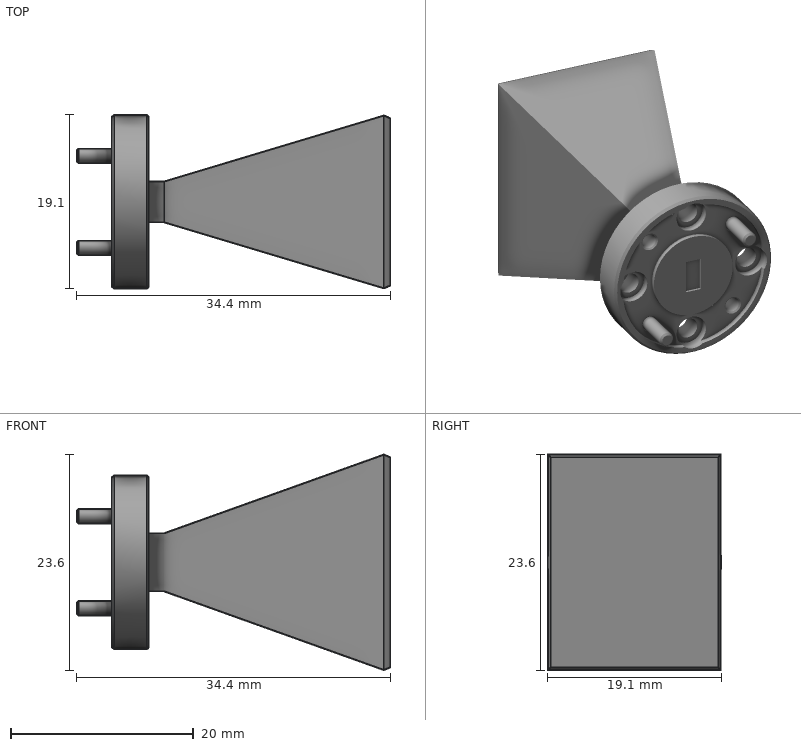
import cadquery as cq
import math

overall_length = 34.35
flange_front = 3.8
flange_thickness = 4.1
flange_back = flange_front + flange_thickness
neck_length = 1.7
flare_start = flange_back + neck_length
mouth_bevel_length = 0.7
flare_end = overall_length - mouth_bevel_length

flange_diameter = 19.05
front_chamfer_length = 0.3
front_chamfer_height = 0.25
back_chamfer = 0.2
recess_outer_diameter = 17.25
boss_diameter = 9.55
recess_depth = 0.62
boss_setback = 0.1
window_width = 1.82
window_height = 3.7
window_depth = 0.27

hole_circle_diameter = 14.25
hole_circle_radius = hole_circle_diameter / 2
screw_hole_diameter = 2.3
counterbore_diameter = 3.57
counterbore_depth = 1.5
guide_hole_diameter = 1.65
guide_hole_chamfer = 0.17
pin_hole_chamfer = 0.1
screw_angles = [0, 90, 180, 270]
guide_angles = [45, 225]
pin_angles = [135, 315]

pin_diameter = 1.6
pin_tip_chamfer = 0.2

neck_width = 4.5
neck_height = 6.4
mouth_width = 18.95
mouth_height = 23.63
mouth_bevel_inset = 0.3


def on_hole_circle(angle):
    """Y, Z position on the hole circle, measured from +Y towards +Z."""
    a = math.radians(angle)
    return hole_circle_radius * math.cos(a), hole_circle_radius * math.sin(a)


def section_plane(x):
    """Sketch plane across the axis, with sketch X along Y and sketch Y along Z."""
    return cq.Workplane("YZ", origin=(x, 0, 0))


def drill(x, diameter, depth, angles):
    """Cylinders at the given hole-circle angles, running from x towards +X."""
    places = [on_hole_circle(angle) for angle in angles]
    return section_plane(x).pushPoints(places).circle(diameter / 2).extrude(depth)


def countersink_cutters(x, diameter, chamfer, angles):
    """Cones that chamfer hole mouths lying in the plane at x."""
    return [
        cq.Solid.makeCone(
            diameter / 2 + chamfer,
            diameter / 2,
            chamfer,
            pnt=cq.Vector(x, *on_hole_circle(angle)),
            dir=cq.Vector(1, 0, 0),
        )
        for angle in angles
    ]


def make_flange():
    radius = flange_diameter / 2
    recess_radius = recess_outer_diameter / 2
    boss_radius = boss_diameter / 2
    recess_floor = flange_front + recess_depth
    boss_face = flange_front + boss_setback

    profile = [
        (boss_face, 0),
        (boss_face, boss_radius),
        (recess_floor, boss_radius),
        (recess_floor, recess_radius),
        (flange_front, recess_radius),
        (flange_front, radius - front_chamfer_height),
        (flange_front + front_chamfer_length, radius),
        (flange_back - back_chamfer, radius),
        (flange_back, radius - back_chamfer),
        (flange_back, 0),
    ]
    body = cq.Workplane("XY").polyline(profile).close().revolve(360, (0, 0, 0), (1, 0, 0))

    body = body.cut(section_plane(boss_face).rect(window_width, window_height).extrude(window_depth))

    body = body.cut(drill(flange_front, screw_hole_diameter, flange_thickness, screw_angles))
    body = body.cut(drill(flange_front, counterbore_diameter, counterbore_depth, screw_angles))

    for diameter, chamfer, angles in [
        (guide_hole_diameter, guide_hole_chamfer, guide_angles),
        (pin_diameter, pin_hole_chamfer, pin_angles),
    ]:
        body = body.cut(drill(flange_front, diameter, flange_thickness, angles))
        for cutter in countersink_cutters(recess_floor, diameter, chamfer, angles):
            body = body.cut(cq.Workplane(cutter))
    return body


def make_pin(angle):
    return drill(0, pin_diameter, flange_back, [angle]).faces("<X").chamfer(pin_tip_chamfer)


def make_horn():
    neck = section_plane(flange_back).rect(neck_width, neck_height).extrude(neck_length)
    flare = (
        section_plane(flare_start)
        .rect(neck_width, neck_height)
        .workplane(offset=flare_end - flare_start)
        .rect(mouth_width, mouth_height)
        .loft(ruled=True)
    )
    mouth_bevel = (
        section_plane(flare_end)
        .rect(mouth_width, mouth_height)
        .workplane(offset=mouth_bevel_length)
        .rect(mouth_width - 2 * mouth_bevel_inset, mouth_height - 2 * mouth_bevel_inset)
        .loft(ruled=True)
    )
    return neck.union(flare).union(mouth_bevel)


flange = make_flange()
horn = make_horn()
pins = [make_pin(angle) for angle in pin_angles]

result = cq.Compound.makeCompound([flange.val(), horn.val(), *[pin.val() for pin in pins]])